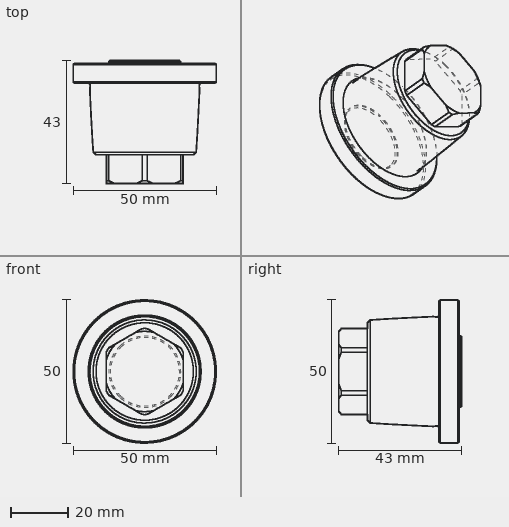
import cadquery as cq
import math

hex_across_flats = 26.8
hex_length = 10.0
hex_corner_radius = 15.0
hex_chamfer = 1.0

body_length = 25.0
tip_cone_length = 8.0
tip_radius = 18.0
middle_radius = 18.45
root_radius = 19.2
tip_chamfer = 1.0

undercut_length = 2.05
neck_end = 1.25
neck_radius = 19.1
undercut_arc_radius = 0.7
undercut_depth = 0.1
face_relief_angle = math.radians(8)

flange_radius = 25.0
flange_thickness = 7.0
flange_chamfer = 0.5
boss_radius = 12.5
boss_height = 1.0
boss_chamfer = 0.5

flange_back = flange_thickness
boss_back = flange_back + boss_height
body_front = -body_length


def make_turned_body():
    """Revolve the (radius, Y) profile of the body, undercut, flange and boss."""
    arc_center_r = neck_radius + undercut_arc_radius
    arc_center_y = undercut_depth - undercut_arc_radius

    def on_arc(angle):
        return (
            arc_center_r - undercut_arc_radius * math.sin(angle),
            arc_center_y + undercut_arc_radius * math.cos(angle),
        )

    arc_start = on_arc(math.pi / 2)
    arc_end = on_arc(face_relief_angle)
    arc_middle = on_arc((math.pi / 2 + face_relief_angle) / 2)
    relief_radius = arc_end[0] + arc_end[1] / math.tan(face_relief_angle)

    profile = (
        cq.Workplane("XY")
        .moveTo(0, body_front)
        .lineTo(tip_radius - tip_chamfer, body_front)
        .lineTo(tip_radius, body_front + tip_chamfer)
        .lineTo(middle_radius, body_front + tip_cone_length)
        .lineTo(root_radius, -undercut_length)
        .lineTo(neck_radius, -neck_end)
        .lineTo(*arc_start)
        .threePointArc(arc_middle, arc_end)
        .lineTo(relief_radius, 0)
        .lineTo(flange_radius - flange_chamfer, 0)
        .lineTo(flange_radius, flange_chamfer)
        .lineTo(flange_radius, flange_back - flange_chamfer)
        .lineTo(flange_radius - flange_chamfer, flange_back)
        .lineTo(boss_radius, flange_back)
        .lineTo(boss_radius, boss_back - boss_chamfer)
        .lineTo(boss_radius - boss_chamfer, boss_back)
        .lineTo(0, boss_back)
        .close()
    )
    return profile.revolve(360, (0, 0, 0), (0, 1, 0))


def make_hex_head():
    """Hexagon with flats on +/-X, its corners turned round and chamfered at the end."""
    hex_across_corners = hex_across_flats / math.cos(math.pi / 6)
    base = cq.Workplane("XZ", origin=(0, body_front, 0))
    prism = base.transformed(rotate=(0, 0, 30)).polygon(6, hex_across_corners).extrude(hex_length)
    turned_blank = base.circle(hex_corner_radius).extrude(hex_length).faces("<Y").chamfer(hex_chamfer)
    return prism.intersect(turned_blank)


result = make_turned_body().union(make_hex_head())